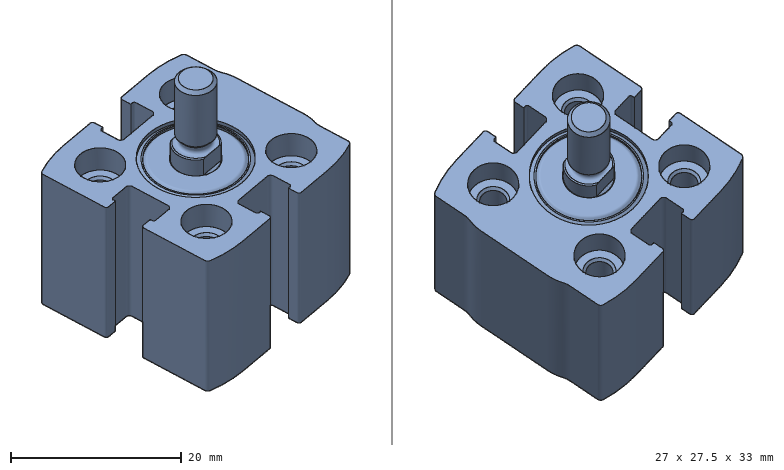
import cadquery as cq
import math


total_height = 33.0

housing_height = 20.5
half_size = 13.5
pad_top = 14.0
pad_half_flat = 5.0
pad_crest_radius = 6.0
pad_foot_radius = 3.0
side_half_flat = 8.0
side_radius = 16.0
corner_radius = 0.6

slot_half_mouth = 2.6
slot_half_groove = 3.2
slot_floor = 8.6
slot_lip = 1.65
groove_floor_radius = 0.53
groove_lip_radius = 0.25
mouth_radius = 0.35

hole_offset = 8.0
bore_diameter = 3.25
counterbore_diameter = 6.0
counterbore_depth = 3.5
countersink_diameter = 3.9

groove_outer_radius = 7.0
groove_depth = 0.53
ledge_outer_radius = 6.45
ledge_inner_radius = 6.25
ledge_depth = 0.15
rim_radius = 5.9
rim_foot_depth = 0.45
rim_depth = 0.2
disc_radius = 5.65
disc_depth = 0.1
rod_hole_chamfer = 0.1

collar_radius = 3.0
collar_height = 2.4
collar_chamfer = 0.2
collar_chamfer_height = 0.1
thread_radius = 2.5
thread_chamfer = 0.45
thread_length = 8.55
neck_radius = 1.95
neck_top_taper = 0.2
neck_bottom_fillet = 0.45
flat_spacing = 5.0
flat_run_out_angle = 30.0
flat_depth = 0.15
rod_depth = 10.0


def housing_blank():
    """Housing section, without slots or holes, extruded to full height."""
    pad_rise = pad_top - half_size
    arc_sum = pad_crest_radius + pad_foot_radius
    pad_run = math.sqrt(arc_sum**2 - (arc_sum - pad_rise) ** 2)
    crest_share = pad_crest_radius / arc_sum
    pad_joint = (pad_half_flat + crest_share * pad_run, pad_top - crest_share * pad_rise)
    pad_foot = (pad_half_flat + pad_run, half_size)

    curve_reach = half_size - side_half_flat
    curve_drop = side_radius - math.sqrt(side_radius**2 - curve_reach**2)
    corner_x = half_size - curve_drop

    right_half = (
        cq.Workplane("XY")
        .moveTo(0, pad_top)
        .lineTo(pad_half_flat, pad_top)
        .tangentArcPoint(pad_joint, relative=False)
        .tangentArcPoint(pad_foot, relative=False)
        .lineTo(corner_x, half_size)
        .radiusArc((half_size, side_half_flat), side_radius)
        .lineTo(half_size, -side_half_flat)
        .radiusArc((corner_x, -half_size), side_radius)
        .lineTo(0, -half_size)
        .close()
        .extrude(housing_height)
    )
    blank = right_half.union(right_half.mirror("YZ")).clean()
    for x in (-corner_x, corner_x):
        for y in (-half_size, half_size):
            blank = round_upright_edge(blank, x, y, corner_radius)
    return blank


def round_upright_edge(body, x, y, radius):
    """Fillet the vertical edge that stands at (x, y)."""
    middle = (x, y, housing_height / 2)
    return body.edges("|Z").edges(cq.NearestToPointSelector(middle)).fillet(radius)


def slot_cutter():
    """T-slot that opens towards +X: a wide groove behind a narrower mouth."""
    groove_end = half_size - slot_lip
    groove = (
        cq.Workplane("XY")
        .box(groove_end - slot_floor, 2 * slot_half_groove, housing_height, centered=(False, True, False))
        .translate((slot_floor, 0, 0))
    )
    groove = groove.edges("|Z and <X").fillet(groove_floor_radius)
    groove = groove.edges("|Z and >X").fillet(groove_lip_radius)
    mouth = (
        cq.Workplane("XY")
        .box(half_size - slot_floor, 2 * slot_half_mouth, housing_height, centered=(False, True, False))
        .translate((slot_floor + groove_floor_radius, 0, 0))
    )
    return groove.union(mouth)


def cut_slots(body):
    """T-slots on the +X, -X and -Y sides, with rounded mouth edges."""
    for angle in (0, 180, 270):
        body = body.cut(slot_cutter().rotate((0, 0, 0), (0, 0, 1), angle))
        turn = math.radians(angle)
        for side in (-slot_half_mouth, slot_half_mouth):
            x = half_size * math.cos(turn) - side * math.sin(turn)
            y = half_size * math.sin(turn) + side * math.cos(turn)
            body = round_upright_edge(body, x, y, mouth_radius)
    return body


def cut_mounting_holes(body):
    """Four counterbored through holes with a 45 degree countersink on the counterbore floor."""
    floor_z = housing_height - counterbore_depth
    sink_depth = (countersink_diameter - bore_diameter) / 2
    hole = (
        cq.Workplane("XZ")
        .lineTo(bore_diameter / 2, 0)
        .lineTo(bore_diameter / 2, floor_z - sink_depth)
        .lineTo(countersink_diameter / 2, floor_z)
        .lineTo(counterbore_diameter / 2, floor_z)
        .lineTo(counterbore_diameter / 2, housing_height)
        .lineTo(0, housing_height)
        .close()
        .revolve(360, (0, 0), (0, 1))
    )
    for x in (-hole_offset, hole_offset):
        for y in (-hole_offset, hole_offset):
            body = body.cut(hole.translate((x, y, 0)))
    return body


def cut_front_recess(body):
    """Shallow recess in the front face: a flat centre disc inside a deeper, stepped ring groove."""
    recess = (
        cq.Workplane("XZ")
        .moveTo(0, housing_height - disc_depth)
        .lineTo(disc_radius, housing_height - disc_depth)
        .tangentArcPoint((rim_radius, housing_height - rim_depth), relative=False)
        .lineTo(ledge_inner_radius, housing_height - rim_foot_depth)
        .lineTo(ledge_inner_radius, housing_height - ledge_depth)
        .lineTo(ledge_outer_radius, housing_height - ledge_depth)
        .lineTo(groove_outer_radius, housing_height - groove_depth)
        .lineTo(groove_outer_radius, housing_height)
        .lineTo(0, housing_height)
        .close()
        .revolve(360, (0, 0), (0, 1))
    )
    return body.cut(recess)


def make_rod():
    """Turned rod: thread, undercut neck and collar, with two wrench flats on the collar."""
    bottom_z = housing_height - rod_depth
    collar_z = housing_height + collar_height
    thread_z = total_height - thread_length
    cone_end_radius = thread_radius - thread_chamfer
    cone_end_z = thread_z - thread_chamfer
    neck_top_z = cone_end_z - neck_top_taper
    rod = (
        cq.Workplane("XZ")
        .moveTo(0, bottom_z)
        .lineTo(collar_radius, bottom_z)
        .lineTo(collar_radius, collar_z - collar_chamfer_height)
        .lineTo(collar_radius - collar_chamfer, collar_z)
        .lineTo(neck_radius + neck_bottom_fillet, collar_z)
        .radiusArc((neck_radius, collar_z + neck_bottom_fillet), neck_bottom_fillet)
        .lineTo(neck_radius, neck_top_z)
        .lineTo(cone_end_radius, cone_end_z)
        .lineTo(thread_radius, thread_z)
        .lineTo(thread_radius, total_height - thread_chamfer)
        .lineTo(thread_radius - thread_chamfer, total_height)
        .lineTo(0, total_height)
        .close()
        .revolve(360, (0, 0), (0, 1))
    )
    return cut_wrench_flats(rod)


def cut_wrench_flats(rod):
    """Flats on the -X and +X sides that run out on a slope just below the front face."""
    flat_x = flat_spacing / 2
    flat_z = housing_height - flat_depth
    reach = collar_radius
    cutter = (
        cq.Workplane("XZ")
        .moveTo(flat_x, flat_z)
        .lineTo(flat_x, total_height)
        .lineTo(flat_x + reach, total_height)
        .lineTo(flat_x + reach, flat_z - reach * math.tan(math.radians(flat_run_out_angle)))
        .close()
        .extrude(collar_radius, both=True)
    )
    return rod.cut(cutter).cut(cutter.mirror("YZ"))


def cut_rod_hole(body):
    """Blind hole that the rod sits in, with a small chamfer at the disc."""
    disc_z = housing_height - disc_depth
    bottom_z = housing_height - rod_depth
    hole = (
        cq.Workplane("XZ")
        .moveTo(0, bottom_z)
        .lineTo(collar_radius, bottom_z)
        .lineTo(collar_radius, disc_z - rod_hole_chamfer)
        .lineTo(collar_radius + rod_hole_chamfer, disc_z)
        .lineTo(0, disc_z)
        .close()
        .revolve(360, (0, 0), (0, 1))
    )
    return body.cut(hole)


def make_housing():
    """Slotted housing with its mounting holes, front recess and the blind hole for the rod."""
    body = housing_blank()
    body = cut_slots(body)
    body = cut_mounting_holes(body)
    body = cut_front_recess(body)
    return cut_rod_hole(body)


housing = make_housing()
rod = make_rod()

result = cq.Compound.makeCompound([housing.val(), rod.val()])